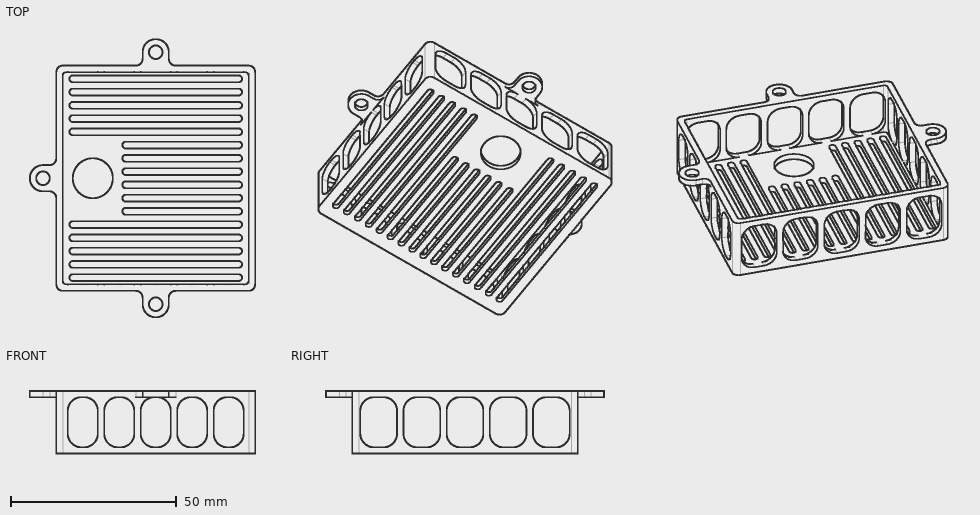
import cadquery as cq

BOX_WIDTH = 60.1
BOX_LENGTH = 68.0
BOX_HEIGHT = 19.0
WALL = 2.0
WINDOW_HEIGHT = 15.0
FLOOR = (BOX_HEIGHT - WINDOW_HEIGHT) / 2
OUTER_CORNER_RADIUS = 2.0
INNER_CORNER_RADIUS = 1.0

EAR_REACH = 8.0
EAR_RADIUS = EAR_REACH / 2
EAR_THICKNESS = FLOOR
EAR_HOLE_DIAMETER = 4.0
EAR_ROOT_RADIUS = 2.0

WINDOW_COUNT = 5
WINDOW_CORNER_RADIUS = 4.0
WINDOW_CENTRE_Z = FLOOR + WINDOW_HEIGHT / 2
END_WINDOW_WIDTH = 9.0
END_WINDOW_PITCH = 11.0
SIDE_WINDOW_WIDTH = 11.0
SIDE_WINDOW_PITCH = 13.0

SLOT_ROWS = 16
SHORT_SLOT_ROWS = range(5, 11)
SLOT_SPAN = 60.0
SLOT_PITCH = SLOT_SPAN / (SLOT_ROWS - 1)
SLOT_WIDTH = SLOT_PITCH / 2
SLOT_LENGTH = 52.0
SHORT_SLOT_LENGTH = 36.0
OPENING_DIAMETER = 12.0
OPENING_X = -19.0


def rounded_block(width, length, height, radius, base_z):
    """Block standing on base_z with rounded vertical edges."""
    block = cq.Workplane("XY").workplane(offset=base_z).rect(width, length).extrude(height)
    return block.edges("|Z").fillet(radius)


def box_shell():
    outer = rounded_block(BOX_WIDTH, BOX_LENGTH, BOX_HEIGHT, OUTER_CORNER_RADIUS, 0)
    cavity = rounded_block(
        BOX_WIDTH - 2 * WALL, BOX_LENGTH - 2 * WALL, BOX_HEIGHT, INNER_CORNER_RADIUS, FLOOR
    )
    return outer.cut(cavity)


def ear(wall_distance, angle):
    """Drilled ear on the wall at wall_distance from the centre, turned about Z from +X."""
    tip_centre = wall_distance + EAR_REACH - EAR_RADIUS
    root = wall_distance - WALL
    flare_end = wall_distance + EAR_ROOT_RADIUS
    flare_half_width = EAR_RADIUS + EAR_ROOT_RADIUS
    arc_offset = EAR_ROOT_RADIUS * (1 - 0.5**0.5)
    plate = (
        cq.Workplane("XY")
        .workplane(offset=BOX_HEIGHT - EAR_THICKNESS)
        .moveTo(root, -flare_half_width)
        .lineTo(wall_distance, -flare_half_width)
        .threePointArc(
            (wall_distance + arc_offset, -EAR_RADIUS - arc_offset), (flare_end, -EAR_RADIUS)
        )
        .lineTo(tip_centre, -EAR_RADIUS)
        .threePointArc((tip_centre + EAR_RADIUS, 0), (tip_centre, EAR_RADIUS))
        .lineTo(flare_end, EAR_RADIUS)
        .threePointArc(
            (wall_distance + arc_offset, EAR_RADIUS + arc_offset), (wall_distance, flare_half_width)
        )
        .lineTo(root, flare_half_width)
        .close()
        .extrude(EAR_THICKNESS)
    )
    hole = (
        cq.Workplane("XY")
        .center(tip_centre, 0)
        .circle(EAR_HOLE_DIAMETER / 2)
        .extrude(BOX_HEIGHT)
    )
    return plate.cut(hole).rotate((0, 0, 0), (0, 0, 1), angle)


def windows(plane, edges, width, pitch, through):
    """Row of rounded windows running right through a pair of opposite walls."""
    return (
        cq.Workplane(plane)
        .center(0, WINDOW_CENTRE_Z)
        .rarray(pitch, 0.8, WINDOW_COUNT, 1)
        .rect(width, WINDOW_HEIGHT)
        .extrude(through / 2, both=True)
        .edges(edges)
        .fillet(WINDOW_CORNER_RADIUS)
    )


def floor_slots():
    """Rows of slots that all end at the same X on the +X side."""
    slots = cq.Workplane("XY")
    for row in range(SLOT_ROWS):
        length = SHORT_SLOT_LENGTH if row in SHORT_SLOT_ROWS else SLOT_LENGTH
        centre_x = (SLOT_LENGTH - length) / 2
        centre_y = row * SLOT_PITCH - SLOT_SPAN / 2
        slot = cq.Workplane("XY").center(centre_x, centre_y).slot2D(length, SLOT_WIDTH).extrude(FLOOR)
        slots = slots.add(slot)
    return slots.combine()


def floor_opening():
    return cq.Workplane("XY").center(OPENING_X, 0).circle(OPENING_DIAMETER / 2).extrude(FLOOR)


result = box_shell()
result = result.cut(windows("XZ", "|Y", END_WINDOW_WIDTH, END_WINDOW_PITCH, BOX_LENGTH))
result = result.cut(windows("YZ", "|X", SIDE_WINDOW_WIDTH, SIDE_WINDOW_PITCH, BOX_WIDTH))
result = result.cut(floor_slots()).cut(floor_opening())
for wall_distance, angle in ((BOX_LENGTH / 2, 90), (BOX_WIDTH / 2, 180), (BOX_LENGTH / 2, 270)):
    result = result.union(ear(wall_distance, angle))